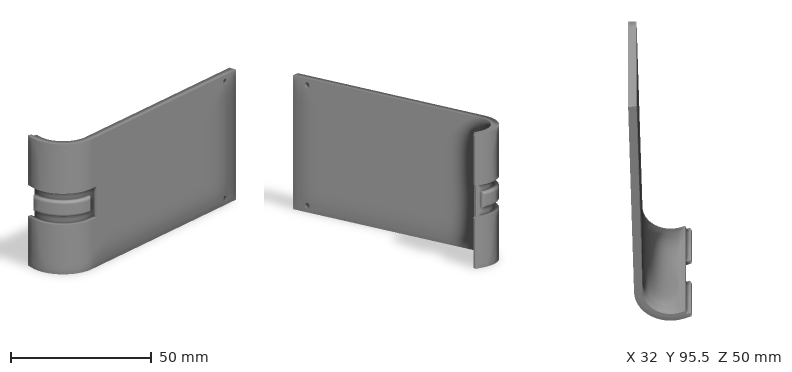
import cadquery as cq
import math

width = 50.0
thickness = 3.0
outer_radius = 13.0
inner_radius = outer_radius - thickness
plate_length = 83.1
plate_lean = math.radians(20)
bend_start = math.radians(-90)

flat_length = 3.2
lip_length = 1.5
lip_thickness = 1.5
lip_chamfer = 0.3

groove_depth = 1.8
groove_width = 11.9
rib_width = 6.0
rib_root = 0.3
rib_fillet = 1.05
groove_start = math.radians(-110)
groove_run_out = 3.0

hole_diameter = 2.0
hole_side_offset = 2.5
hole_end_offset = 6.4


def bend_point(radius, angle):
    """Point around the bend centre; angle 0 points along +X."""
    return (radius * math.cos(angle), radius * math.sin(angle))


def plate_point(radius, distance):
    """Point on the plate at a distance beyond the end of the bend."""
    x, y = bend_point(radius, plate_lean)
    return (x - distance * math.sin(plate_lean), y + distance * math.cos(plate_lean))


def extrude_centred(outline, height):
    """Close an outline and extrude it equally to both sides of mid-width."""
    return outline.close().extrude(height / 2, both=True)


def bend(inner, outer, start, height):
    """Curved band between two radii, from the start angle to the foot of the plate."""
    middle = (start + plate_lean) / 2
    outline = (
        cq.Workplane("XY")
        .moveTo(*bend_point(outer, start))
        .threePointArc(bend_point(outer, middle), bend_point(outer, plate_lean))
        .lineTo(*bend_point(inner, plate_lean))
        .threePointArc(bend_point(inner, middle), bend_point(inner, start))
    )
    return extrude_centred(outline, height)


def plate(inner, outer, length, height):
    """Straight band that carries on from the bend at the lean of the plate."""
    outline = cq.Workplane("XY").polyline(
        [
            bend_point(outer, plate_lean),
            plate_point(outer, length),
            plate_point(inner, length),
            bend_point(inner, plate_lean),
        ]
    )
    return extrude_centred(outline, height)


def make_flat_end():
    """Straight end of the hook, stepped back on its inner face to leave the lip."""
    shoulder_x = lip_length - flat_length
    lip_top_y = lip_thickness - outer_radius
    outline = cq.Workplane("XY").polyline(
        [
            (0, -outer_radius),
            (-flat_length, -outer_radius),
            (-flat_length, lip_top_y),
            (shoulder_x, lip_top_y),
            (shoulder_x, -inner_radius),
            (0, -inner_radius),
        ]
    )
    return extrude_centred(outline, width)


def make_strip():
    curve = bend(inner_radius, outer_radius, bend_start, width)
    straight = plate(inner_radius, outer_radius, plate_length, width)
    return make_flat_end().union(curve).union(straight)


def make_groove():
    """Cutter concentric with the bend that clears the lip and runs out along the plate."""
    floor_radius = outer_radius - groove_depth
    clear_radius = outer_radius + groove_depth
    curve = bend(floor_radius, clear_radius, groove_start, groove_width)
    return curve.union(plate(floor_radius, clear_radius, groove_run_out, groove_width))


def chamfer_lip_ends(strip):
    """Chamfer all round the end face of the lip, on both sides of the groove."""
    lip_ends = cq.selectors.BoxSelector(
        (-flat_length - lip_chamfer, -outer_radius, -width),
        (-flat_length + lip_chamfer, -inner_radius, width),
    )
    return strip.faces(lip_ends).edges().chamfer(lip_chamfer)


def make_rib():
    """Rib over the bend only, flush with the outer face and rooted in the groove floor."""
    rib = bend(outer_radius - groove_depth - rib_root, outer_radius, bend_start, rib_width)
    middle = (bend_start + plate_lean) / 2
    outer_face = cq.selectors.NearestToPointSelector((*bend_point(outer_radius, middle), 0))
    return rib.faces(outer_face).edges().fillet(rib_fillet)


def make_holes():
    """Pair of holes square to the plate."""
    x, y = plate_point(0, plate_length - hole_end_offset)
    plate_normal = (math.cos(plate_lean), math.sin(plate_lean), 0)
    hole_z = width / 2 - hole_side_offset
    return (
        cq.Workplane(cq.Plane(origin=(x, y, 0), xDir=(0, 0, 1), normal=plate_normal))
        .pushPoints([(-hole_z, 0), (hole_z, 0)])
        .circle(hole_diameter / 2)
        .extrude(2 * outer_radius)
    )


grooved_strip = chamfer_lip_ends(make_strip().cut(make_groove()))
result = grooved_strip.union(make_rib()).cut(make_holes())